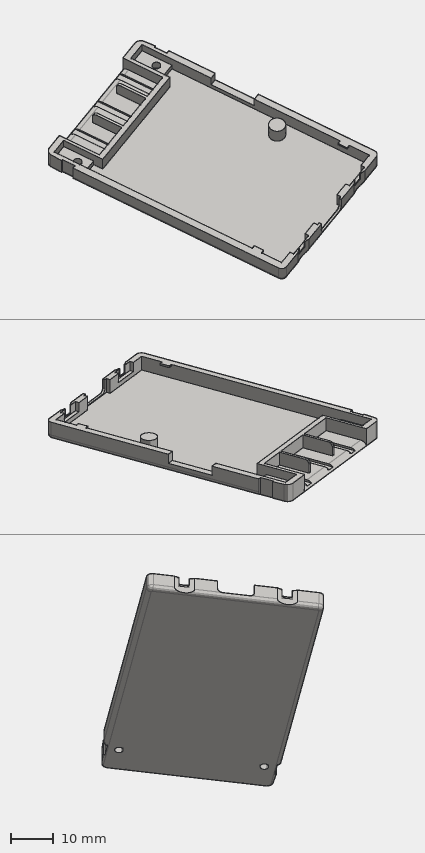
import cadquery as cq
import math

LENGTH = 66.0
WIDTH = 42.0
HEIGHT = 4.5
END_WALL = 1.65
SIDE_WALL = 1.8
FLOOR = 0.9
CORNER_RADIUS = 1.4
BOTTOM_RADIUS = 1.1

NOSE_LENGTH = 7.9
NOSE_HALF_WIDTH = 20.1
NOSE_RADIUS = 1.65
NOSE_ARC_CENTRE_Y = 18.7
FLARE_START_X = 1.4
FLARE_END_X = 4.5
FLARE_END_Y = 20.5

BAY_X = 11.0
BAY_Y_MIN = -14.3
BAY_Y_MAX = 13.4
BAY_END_WALL = 1.4
BAY_LOWER_WALL = 0.7
BAY_UPPER_WALL = 0.9
BAY_FLOOR = 1.1
BAY_LIP = 1.6
DIVIDER_X = 3.0
DIVIDER_THICKNESS = 0.65
DIVIDER_CENTRES = (-4.2, 6.3)
DIVIDER_RADIUS = 1.1
GROOVE_WIDTH = 1.8
GROOVE_FLOOR = 0.6
GROOVE_CENTRES = (-8.9, 1.0, 10.7)

PAD_END_X = 9.9
PAD_TOP = 2.25
HOLE_DIAMETER = 2.0
HOLE_X = 6.85
HOLE_Y = 17.2

POST_DIAMETER = 4.0
POST_X = 41.25
POST_Y = 15.5

SIDE_GAP_START = 20.7
SIDE_GAP_LENGTH = 11.9
SIDE_GAP_FLOOR = 2.1

TAB_START = 56.2
TAB_LENGTH = 2.6
TAB_DEPTH = 0.9
TAB_HEIGHT = 0.45

THIN_WALL = 0.65
LATCH_Y = 12.2
LATCH_POCKET_WIDTH = 6.6
LATCH_LEDGE = 2.1
NOTCH_WIDTH = 4.8
NOTCH_DEPTH = 0.5
WINDOW_WIDTH = 2.4
WINDOW_SILL = 2.5
CENTRE_POCKET_WIDTH = 10.1
OPENING_WIDTH = 8.7
OPENING_FLOOR = 1.1
OPENING_RADIUS = 1.1

INNER_HALF_WIDTH = WIDTH / 2 - SIDE_WALL
INNER_END_X = LENGTH - END_WALL


def block(x_min, x_max, y_min, y_max, z_min, z_max):
    """Box given by its limits along each axis."""
    size = (x_max - x_min, y_max - y_min, z_max - z_min)
    return cq.Workplane("XY").box(*size, centered=False).translate((x_min, y_min, z_min))


def nose_outline():
    """Prism of the nose: rounded corners and flanks that flare outwards up to a small step."""
    rise = math.sqrt(NOSE_RADIUS**2 - (NOSE_RADIUS - FLARE_START_X) ** 2)
    diagonal = NOSE_RADIUS * math.sqrt(0.5)
    half = (
        cq.Workplane("XY")
        .lineTo(0, NOSE_ARC_CENTRE_Y)
        .threePointArc(
            (NOSE_RADIUS - diagonal, NOSE_ARC_CENTRE_Y + diagonal),
            (FLARE_START_X, NOSE_ARC_CENTRE_Y + rise),
        )
        .lineTo(FLARE_END_X, FLARE_END_Y)
        .lineTo(FLARE_END_X, NOSE_HALF_WIDTH)
        .lineTo(NOSE_LENGTH, NOSE_HALF_WIDTH)
        .lineTo(NOSE_LENGTH, 0)
        .close()
        .extrude(HEIGHT)
    )
    return half.union(half.mirror("XZ"))


def outer_body():
    """Solid tray, rounded below on three sides, with its contact end trimmed to the nose."""
    body = block(0, LENGTH, -WIDTH / 2, WIDTH / 2, 0, HEIGHT)
    body = body.edges("|Z and >X").fillet(CORNER_RADIUS)
    body = body.faces("<Z").edges("not(<X)").fillet(BOTTOM_RADIUS)
    full_width = block(NOSE_LENGTH, LENGTH, -WIDTH / 2, WIDTH / 2, 0, HEIGHT)
    return body.intersect(full_width.union(nose_outline()))


def add_contact_bay(body):
    walls = block(
        END_WALL, BAY_X + BAY_END_WALL,
        BAY_Y_MIN - BAY_LOWER_WALL, BAY_Y_MAX + BAY_UPPER_WALL,
        0, HEIGHT,
    )
    body = body.union(walls).cut(block(0, BAY_X, BAY_Y_MIN, BAY_Y_MAX, BAY_FLOOR, HEIGHT))

    lip_radius = (BAY_LIP**2 + BAY_FLOOR**2) / (2 * BAY_FLOOR)
    half_angle = math.asin(BAY_LIP / lip_radius) / 2
    lip_mid = (
        BAY_LIP - lip_radius * math.sin(half_angle),
        BAY_FLOOR - lip_radius * (1 - math.cos(half_angle)),
    )
    lip_waste = (
        cq.Workplane("XZ", origin=(0, BAY_Y_MAX, 0))
        .threePointArc(lip_mid, (BAY_LIP, BAY_FLOOR))
        .lineTo(0, BAY_FLOOR)
        .close()
        .extrude(BAY_Y_MAX - BAY_Y_MIN)
    )
    body = body.cut(lip_waste)

    for y in GROOVE_CENTRES:
        half = GROOVE_WIDTH / 2
        body = body.cut(block(0, BAY_X, y - half, y + half, GROOVE_FLOOR, HEIGHT))
    for y in DIVIDER_CENTRES:
        half = DIVIDER_THICKNESS / 2
        divider = block(DIVIDER_X, BAY_X, y - half, y + half, 0, HEIGHT)
        body = body.union(divider.edges("<X and >Z").fillet(DIVIDER_RADIUS))
    return body


def add_screw_pads(body):
    for y_min, y_max in (
        (-INNER_HALF_WIDTH, BAY_Y_MIN - BAY_LOWER_WALL),
        (BAY_Y_MAX + BAY_UPPER_WALL, INNER_HALF_WIDTH),
    ):
        body = body.union(block(END_WALL, PAD_END_X, y_min, y_max, 0, PAD_TOP))
    holes = (
        cq.Workplane("XY")
        .pushPoints([(HOLE_X, -HOLE_Y), (HOLE_X, HOLE_Y)])
        .circle(HOLE_DIAMETER / 2)
        .extrude(HEIGHT)
    )
    return body.cut(holes)


def add_post(body):
    post = cq.Workplane("XY").center(POST_X, POST_Y).circle(POST_DIAMETER / 2).extrude(HEIGHT)
    return body.union(post)


def add_snap_tabs(body):
    tab = block(
        TAB_START, TAB_START + TAB_LENGTH,
        INNER_HALF_WIDTH - TAB_DEPTH, INNER_HALF_WIDTH,
        HEIGHT - TAB_HEIGHT, HEIGHT,
    )
    return body.union(tab).union(tab.mirror("XZ"))


def cut_side_gap(body):
    return body.cut(block(
        SIDE_GAP_START, SIDE_GAP_START + SIDE_GAP_LENGTH,
        INNER_HALF_WIDTH, WIDTH / 2,
        SIDE_GAP_FLOOR, HEIGHT,
    ))


def cut_far_end(body):
    thin_x = LENGTH - THIN_WALL
    notch_radius = ((NOTCH_WIDTH / 2) ** 2 + NOTCH_DEPTH**2) / (2 * NOTCH_DEPTH)
    notch_x = LENGTH - NOTCH_DEPTH + notch_radius
    for y in (-LATCH_Y, LATCH_Y):
        half = LATCH_POCKET_WIDTH / 2
        body = body.cut(block(INNER_END_X, thin_x, y - half, y + half, LATCH_LEDGE, HEIGHT))
        body = body.cut(cq.Workplane("XY").center(notch_x, y).circle(notch_radius).extrude(HEIGHT))
        half = WINDOW_WIDTH / 2
        body = body.cut(block(thin_x, LENGTH, y - half, y + half, WINDOW_SILL, HEIGHT))

    half = CENTRE_POCKET_WIDTH / 2
    body = body.cut(block(INNER_END_X, thin_x, -half, half, FLOOR, HEIGHT))
    half = OPENING_WIDTH / 2
    opening = block(INNER_END_X, LENGTH, -half, half, OPENING_FLOOR, HEIGHT)
    return body.cut(opening.edges("|X and <Z").fillet(OPENING_RADIUS))


cavity = block(END_WALL, INNER_END_X, -INNER_HALF_WIDTH, INNER_HALF_WIDTH, FLOOR, HEIGHT)
result = outer_body().cut(cavity)
result = add_contact_bay(result)
result = add_screw_pads(result)
result = add_post(result)
result = add_snap_tabs(result)
result = cut_side_gap(result)
result = cut_far_end(result)